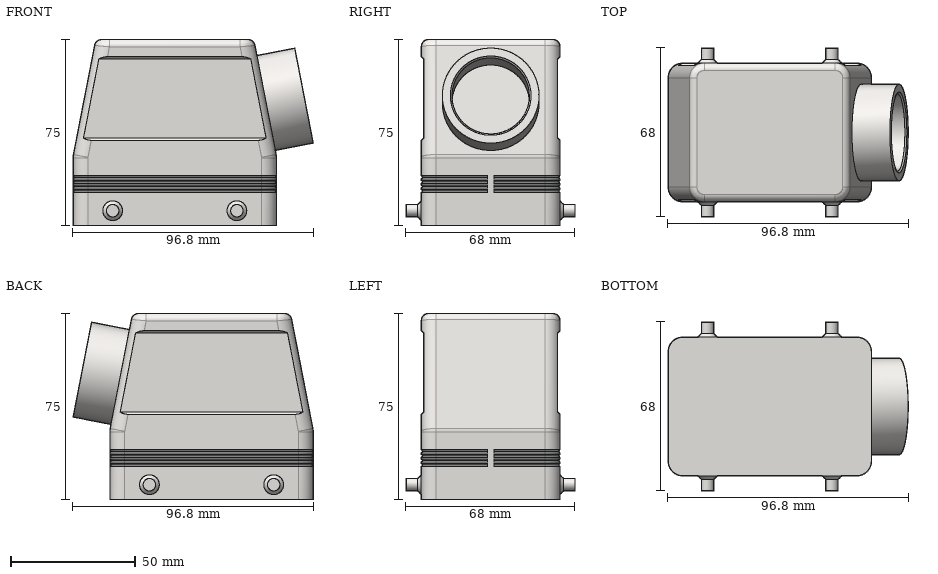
import cadquery as cq
import math

body_length = 82.0
body_width = 55.9
body_height = 75.0
slope_start = 28.0
slope_angle = 11
corner_radius = 6.0
slope_blend_radius = 7.1
top_radius = 3.0

recess_depth = 1.0
recess_bottom = 34.35
recess_top = 68.0

groove_count = 4
groove_pitch = 1.8
groove_depth = 0.63
lowest_groove = 13.9
groove_gap = 2.7

pin_spacing = 50.0
pin_height = 6.0
pin_diameter = 5.0
pin_span = 68.0
pin_root_diameter = 7.9
pin_root_length = 1.45

neck_diameter = 39.0
neck_bore = 31.2
neck_mouth = 32.5
mouth_angle = 45
neck_face_x = 52.1
neck_face_z = 52.3

join_overlap = 1.9

half_length = body_length / 2
half_width = body_width / 2
slope_run = math.tan(math.radians(slope_angle))
top_half_length = half_length - (body_height - slope_start) * slope_run

axis_x = math.cos(math.radians(slope_angle))
axis_z = math.sin(math.radians(slope_angle))
wall_x = half_length - (neck_face_z - slope_start) * slope_run
neck_length = (neck_face_x - wall_x) * axis_x
mouth_depth = (neck_mouth - neck_bore) / 2 / math.tan(math.radians(mouth_angle))
neck_plane = cq.Plane(
    origin=(neck_face_x, 0, neck_face_z),
    xDir=(0, 1, 0),
    normal=(-axis_x, 0, -axis_z),
)


def make_body():
    """Side outline extruded across the width, then rounded."""
    body = (
        cq.Workplane("XZ")
        .polyline([
            (-half_length, 0),
            (half_length, 0),
            (half_length, slope_start),
            (top_half_length, body_height),
            (-top_half_length, body_height),
            (-half_length, slope_start),
        ])
        .close()
        .extrude(half_width, both=True)
    )
    body = body.edges("|Y and (not >Z) and (not <Z)").fillet(slope_blend_radius)
    body = body.edges("not(|X or |Y)").fillet(corner_radius)
    return body.faces(">Z").edges().fillet(top_radius)


def make_recess(side):
    """Bevelled trapezoid running the whole length of one broad side."""
    face = side * half_width
    floor = side * (half_width - recess_depth)
    return (
        cq.Workplane("YZ")
        .polyline([
            (face, recess_bottom),
            (floor, recess_bottom + recess_depth),
            (floor, recess_top - recess_depth),
            (face, recess_top),
        ])
        .close()
        .extrude(half_length, both=True)
    )


def base_outline(inset):
    """Rounded rectangle of the base, moved inwards by the inset."""
    return (
        cq.Sketch()
        .rect(body_length - 2 * inset, body_width - 2 * inset)
        .vertices()
        .fillet(corner_radius - inset)
    )


def make_groove(height):
    """V-section ring following the base outline, interrupted at both end walls."""
    slab = (
        cq.Workplane("XY", origin=(0, 0, height))
        .placeSketch(base_outline(0))
        .extrude(groove_depth, both=True)
    )
    lower_core = (
        cq.Workplane("XY", origin=(0, 0, height - groove_depth))
        .placeSketch(
            base_outline(0),
            base_outline(groove_depth).moved(cq.Location(cq.Vector(0, 0, groove_depth))),
        )
        .loft()
    )
    core = lower_core.union(lower_core.mirror("XY", (0, 0, height)))
    end_gap = (
        cq.Workplane("XY", origin=(0, 0, height))
        .box(body_length, groove_gap, 2 * groove_depth)
    )
    return slab.cut(core).cut(end_gap)


def make_pin(side, x):
    """Pin with a conical root, pointing outwards from one broad side."""
    pin_radius = pin_diameter / 2
    root_radius = pin_root_diameter / 2
    pin_end = pin_span / 2
    pin = (
        cq.Workplane("XY")
        .polyline([
            (0, half_width - join_overlap),
            (root_radius, half_width - join_overlap),
            (root_radius, half_width),
            (pin_radius, half_width + pin_root_length),
            (pin_radius, pin_end),
            (0, pin_end),
        ])
        .close()
        .revolve(360, (0, 0, 0), (0, 1, 0))
    )
    if side < 0:
        pin = pin.mirror("XZ")
    return pin.translate((x, 0, pin_height))


def make_neck():
    """Round neck reaching slightly into the body so that it joins along its whole rim."""
    return cq.Workplane(neck_plane).circle(neck_diameter / 2).extrude(neck_length + join_overlap)


def make_bore():
    """Blind bore ending at the sloping wall, with a chamfered mouth."""
    bore = cq.Workplane(neck_plane).circle(neck_bore / 2).extrude(neck_length)
    mouth = cq.Workplane(neck_plane).circle(neck_mouth / 2).extrude(mouth_depth, taper=mouth_angle)
    return bore.union(mouth)


result = make_body()
for side in (-1, 1):
    result = result.cut(make_recess(side))
for i in range(groove_count):
    result = result.cut(make_groove(lowest_groove + i * groove_pitch))
for side in (-1, 1):
    for x in (-pin_spacing / 2, pin_spacing / 2):
        result = result.union(make_pin(side, x))
result = result.union(make_neck()).cut(make_bore()).solids()